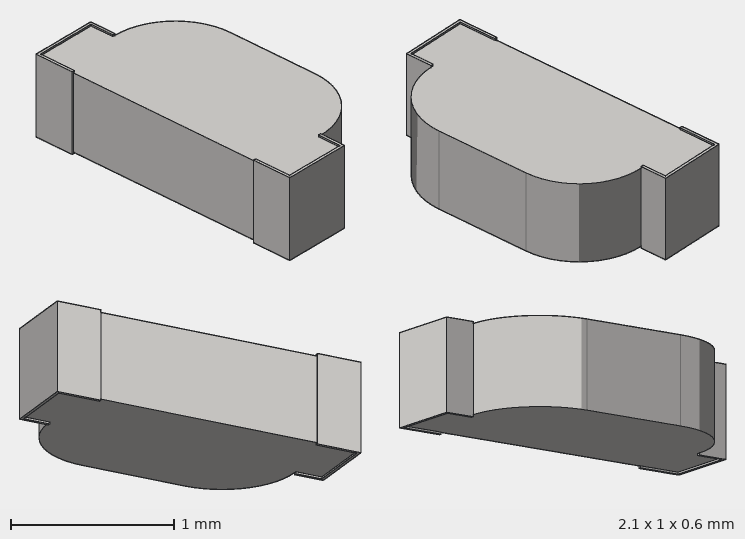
import cadquery as cq

length = 2.1
depth = 1.0
height = 0.6

terminal_depth = 0.5
terminal_front_length = 0.3
terminal_wall = 0.02

dome_width = 1.7
dome_radius = depth - terminal_depth
top_recess = 0.013
front_recess = 0.01
body_height = height - 2 * top_recess

half_length = length / 2
half_dome = dome_width / 2
terminal_front_end = half_length - terminal_front_length


def block(x_min, x_max, y_min, y_max, block_height):
    """Box between plan limits, centred on Z = 0."""
    return (
        cq.Workplane("XY")
        .box(x_max - x_min, y_max - y_min, block_height, centered=(False, False, True))
        .translate((x_min, y_min, 0))
    )


def make_body():
    """Rectangular base with a round-cornered dome behind it."""
    base = block(-half_length + terminal_wall, half_length - terminal_wall,
                 front_recess, terminal_depth - terminal_wall, body_height)
    dome = (
        block(-half_dome, half_dome, front_recess, depth, body_height)
        .edges("|Z and >Y")
        .fillet(dome_radius)
    )
    return base.union(dome)


def make_right_terminal():
    """Thin U-shaped wall covering the front, end and back of one end."""
    end = block(half_length - terminal_wall, half_length, 0, terminal_depth, height)
    front = block(terminal_front_end, half_length, 0, terminal_wall, height)
    back = block(half_dome, half_length, terminal_depth - terminal_wall, terminal_depth, height)
    return end.union(front).union(back)


right_terminal = make_right_terminal()
left_terminal = right_terminal.mirror("YZ")
result = make_body().union(right_terminal).union(left_terminal)